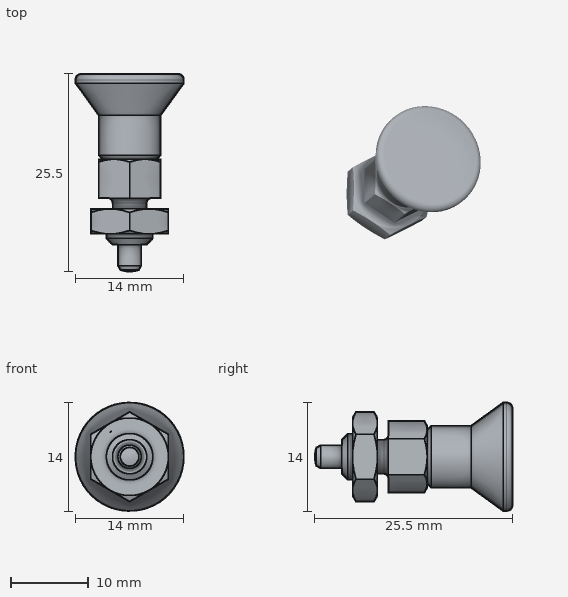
import cadquery as cq
import math

total_length = 25.5

knob_radius = 14.0 / 2
knob_edge_radius = 0.8
knob_rim_width = 0.4
knob_grip_radius = 8.0 / 2
knob_grip_start = 14.48
knob_grip_end = 20.17
knob_chamfer = 0.54

body_across_flats = 8.0
body_length = 5.0
nut_across_flats = 10.0
nut_start = 4.87
nut_width = 3.21
hex_chamfer_angle = 30.0

sleeve_radius = 6.0 / 2
sleeve_start = 3.5
sleeve_tip_radius = 4.4 / 2
neck_radius = 4.4 / 2
neck_fillet = 0.6

pin_radius = 3.0 / 2
pin_tip_radius = 1.2
pin_taper_start = 0.8
pin_dome_height = 0.23

body_start = knob_grip_start - body_length
nut_end = nut_start + nut_width
sleeve_chamfer = sleeve_radius - sleeve_tip_radius


def revolve_about_axis(profile):
    """Revolve a (radius, Y) profile about the plunger axis."""
    return profile.close().revolve(360, (0, 0, 0), (0, 1, 0))


def make_pin():
    dome_radius = (pin_tip_radius**2 + pin_dome_height**2) / (2 * pin_dome_height)
    mid_radius = pin_tip_radius / 2
    mid_y = dome_radius - math.sqrt(dome_radius**2 - mid_radius**2)
    return revolve_about_axis(
        cq.Workplane("XY")
        .threePointArc((mid_radius, mid_y), (pin_tip_radius, pin_dome_height))
        .lineTo(pin_radius, pin_taper_start)
        .lineTo(pin_radius, nut_start)
        .lineTo(0, nut_start)
    )


def make_sleeve():
    fillet_start = body_start - neck_fillet
    fillet_leg = neck_fillet * math.sqrt(0.5)
    fillet_centre_radius = neck_radius + neck_fillet
    return revolve_about_axis(
        cq.Workplane("XY")
        .moveTo(0, sleeve_start)
        .lineTo(sleeve_tip_radius, sleeve_start)
        .lineTo(sleeve_radius, sleeve_start + sleeve_chamfer)
        .lineTo(sleeve_radius, nut_end)
        .lineTo(neck_radius, nut_end)
        .lineTo(neck_radius, fillet_start)
        .threePointArc(
            (fillet_centre_radius - fillet_leg, fillet_start + fillet_leg),
            (fillet_centre_radius, body_start),
        )
        .lineTo(0, body_start)
    )


def make_hex(across_flats, start, length, chamfer_start_end):
    """Hexagon with flats facing +X and -X, chamfered by a cone at the +Y end or at both ends."""
    flat_radius = across_flats / 2
    corner_radius = flat_radius / math.cos(math.radians(30))
    chamfer_depth = (corner_radius - flat_radius) * math.tan(math.radians(hex_chamfer_angle))
    end = start + length
    prism = (
        cq.Workplane("XZ", origin=(0, start, 0))
        .polygon(6, 2 * corner_radius)
        .extrude(-length)
        .rotate((0, 0, 0), (0, 1, 0), 30)
    )
    envelope = cq.Workplane("XY").moveTo(0, start)
    if chamfer_start_end:
        envelope = envelope.lineTo(flat_radius, start).lineTo(corner_radius, start + chamfer_depth)
    else:
        envelope = envelope.lineTo(corner_radius, start)
    envelope = (
        envelope.lineTo(corner_radius, end - chamfer_depth)
        .lineTo(flat_radius, end)
        .lineTo(0, end)
    )
    return prism.intersect(revolve_about_axis(envelope))


def make_knob():
    rim_end = total_length - knob_edge_radius
    edge_leg = knob_edge_radius * math.sqrt(0.5)
    edge_centre_radius = knob_radius - knob_edge_radius
    return revolve_about_axis(
        cq.Workplane("XY")
        .moveTo(0, knob_grip_start)
        .lineTo(knob_grip_radius - knob_chamfer, knob_grip_start)
        .lineTo(knob_grip_radius, knob_grip_start + knob_chamfer)
        .lineTo(knob_grip_radius, knob_grip_end)
        .lineTo(knob_radius, rim_end - knob_rim_width)
        .lineTo(knob_radius, rim_end)
        .threePointArc(
            (edge_centre_radius + edge_leg, rim_end + edge_leg),
            (edge_centre_radius, total_length),
        )
        .lineTo(0, total_length)
    )


lock_nut = make_hex(nut_across_flats, nut_start, nut_width, chamfer_start_end=True)
body = make_hex(body_across_flats, body_start, body_length, chamfer_start_end=False)
result = make_pin().union(make_sleeve()).union(lock_nut).union(body).union(make_knob())